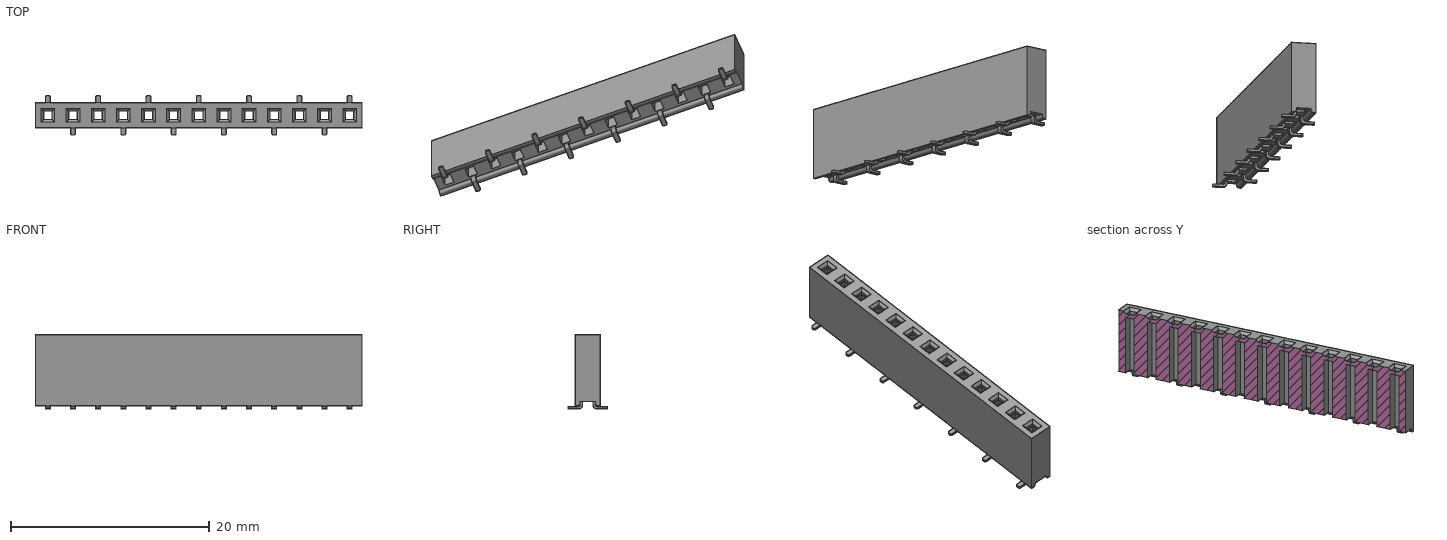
import cadquery as cq

pin_count = 13
length = 33.02
pitch = length / pin_count
width = 2.55
overall_height = 7.5
standoff = 0.3
groove_width = 1.52
groove_top = 0.73
lip_radius = 0.3

socket_size = 0.83
mouth_size = 1.4
lead_in_depth = (mouth_size - socket_size) / 2
throat_length = 0.4
cavity_size = 0.95

foot_span = 4.0
foot_reach = foot_span / 2
tail_width = 0.5
tail_thickness = 0.23
outer_bend = 0.35
inner_bend = lip_radius
tip_radius = 0.15


def make_housing():
    """Housing section swept along X, with the lower edges of the groove rounded."""
    half_width = width / 2
    half_groove = groove_width / 2
    lip_y = half_groove + lip_radius
    lip_z = standoff + lip_radius
    return (
        cq.Workplane("YZ")
        .moveTo(-half_width, standoff)
        .lineTo(-half_width, overall_height)
        .lineTo(half_width, overall_height)
        .lineTo(half_width, standoff)
        .lineTo(lip_y, standoff)
        .radiusArc((half_groove, lip_z), lip_radius)
        .lineTo(half_groove, groove_top)
        .lineTo(-half_groove, groove_top)
        .lineTo(-half_groove, lip_z)
        .radiusArc((-lip_y, standoff), lip_radius)
        .close()
        .extrude(length / 2, both=True)
    )


def make_socket():
    """Cutting body of one socket, centred on the Z axis."""
    throat_top = overall_height - lead_in_depth
    cavity_top = throat_top - throat_length
    cavity = cq.Workplane("XY").rect(cavity_size, cavity_size).extrude(cavity_top)
    throat = cq.Workplane("XY").rect(socket_size, socket_size).extrude(throat_top)
    lead_in = (
        cq.Workplane("XY")
        .workplane(offset=throat_top)
        .rect(socket_size, socket_size)
        .workplane(offset=lead_in_depth)
        .rect(mouth_size, mouth_size)
        .loft()
    )
    return cavity.union(throat).union(lead_in)


def make_tail():
    """Tail bent from the groove wall into a foot toward +Y, centred on X = 0."""
    outer_y = groove_width / 2
    inner_y = outer_y - tail_thickness
    tail = (
        cq.Workplane("YZ")
        .moveTo(inner_y, groove_top)
        .lineTo(inner_y, outer_bend)
        .radiusArc((inner_y + outer_bend, 0), -outer_bend)
        .lineTo(foot_reach, 0)
        .lineTo(foot_reach, tail_thickness)
        .lineTo(outer_y + inner_bend, tail_thickness)
        .radiusArc((outer_y, tail_thickness + inner_bend), inner_bend)
        .lineTo(outer_y, groove_top)
        .close()
        .extrude(tail_width / 2, both=True)
    )
    return tail.faces(">Y").edges("|Z").fillet(tip_radius)


result = make_housing()
socket = make_socket()
tail = make_tail()

for index in range(pin_count):
    x = (index - (pin_count - 1) / 2) * pitch
    turn = 180 * (index % 2)
    result = result.cut(socket.translate((x, 0, 0)))
    result = result.union(tail.rotate((0, 0, 0), (0, 0, 1), turn).translate((x, 0, 0)))